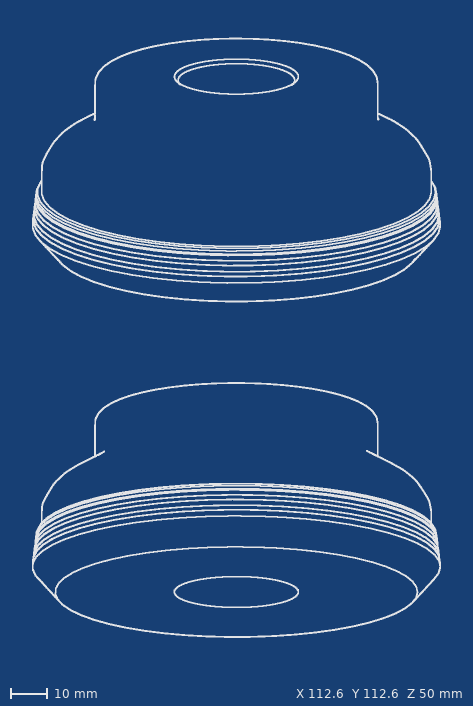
import cadquery as cq
import math

RIM_RADIUS = 56.3
TOTAL_HEIGHT = 50.0
JOINT_HEIGHT = 17.0

NECK_RADIUS = 39.0
NECK_TOP_FILLET = 2.0
NECK_ROOT_HEIGHT = 38.0
NECK_ROOT_FILLET = 3.0
SHOULDER_SLOPE = 30.0
SKIRT_SLOPE = 60.0
SHOULDER_ARC = 10.1
SKIRT_ARC = 5.0
SKIRT_RADIUS = 53.8
SKIRT_TOP_HEIGHT = 22.7

BORE_RADIUS = 16.1
BORE_CHAMFER = 1.0
BORE_END_HEIGHT = 28.3
LOWER_BORE_RADIUS = BORE_RADIUS + BORE_CHAMFER

FOOT_RADIUS = 50.2
FOOT_CHAMFER = 0.2
RIM_LOW_HEIGHT = 7.2
RIM_HIGH_HEIGHT = 7.9
SHOULDER_EDGE = (54.9, 16.8)
GRIP_TOP = (55.3, 16.1)

GROOVE_DEPTH = 0.1
GROOVES = [(9.0, 10.4), (12.0, 13.4), (14.9, 15.2)]


def revolve(outline):
    """Turn a closed outline in the XZ plane a full turn about the Z axis."""
    return outline.close().revolve(360, (0, 0, 0), (0, 1, 0))


def arc_point(center, radius, degrees):
    """Point on a circle in the radius-height plane; 90 degrees is straight up."""
    angle = math.radians(degrees)
    return (center[0] + radius * math.cos(angle), center[1] + radius * math.sin(angle))


def line_crossing(start, start_slope, end, end_slope):
    """Crossing of two falling lines, each given by a point and a slope in degrees."""
    start_fall = math.tan(math.radians(start_slope))
    end_fall = math.tan(math.radians(end_slope))
    radius = (start[1] - end[1] + start_fall * start[0] - end_fall * end[0]) / (start_fall - end_fall)
    return (radius, start[1] - start_fall * (radius - start[0]))


def make_hood():
    """Domed hood: a neck that flares through a shoulder into a cylindrical skirt."""
    root_center = (NECK_RADIUS + NECK_ROOT_FILLET, NECK_ROOT_HEIGHT)
    root_middle = arc_point(root_center, NECK_ROOT_FILLET, 180 + SHOULDER_SLOPE)
    root_end = arc_point(root_center, NECK_ROOT_FILLET, 270 - SHOULDER_SLOPE)

    skirt_center = (SKIRT_RADIUS - SKIRT_ARC, SKIRT_TOP_HEIGHT)
    skirt_start = arc_point(skirt_center, SKIRT_ARC, 90 - SKIRT_SLOPE)
    skirt_middle = arc_point(skirt_center, SKIRT_ARC, (90 - SKIRT_SLOPE) / 2)

    corner = line_crossing(root_end, SHOULDER_SLOPE, skirt_start, SKIRT_SLOPE)
    tangent = SHOULDER_ARC * math.tan(math.radians((SKIRT_SLOPE - SHOULDER_SLOPE) / 2))
    shoulder_start = arc_point(corner, tangent, 180 - SHOULDER_SLOPE)
    shoulder_end = arc_point(corner, tangent, -SKIRT_SLOPE)
    shoulder_center = arc_point(shoulder_start, SHOULDER_ARC, 270 - SHOULDER_SLOPE)
    shoulder_middle = arc_point(shoulder_center, SHOULDER_ARC, 90 - (SHOULDER_SLOPE + SKIRT_SLOPE) / 2)

    top_center = (NECK_RADIUS - NECK_TOP_FILLET, TOTAL_HEIGHT - NECK_TOP_FILLET)
    return revolve(
        cq.Workplane("XZ")
        .moveTo(BORE_RADIUS + BORE_CHAMFER, TOTAL_HEIGHT)
        .lineTo(top_center[0], TOTAL_HEIGHT)
        .threePointArc(arc_point(top_center, NECK_TOP_FILLET, 45), (NECK_RADIUS, top_center[1]))
        .lineTo(NECK_RADIUS, NECK_ROOT_HEIGHT)
        .threePointArc(root_middle, root_end)
        .lineTo(*shoulder_start)
        .threePointArc(shoulder_middle, shoulder_end)
        .lineTo(*skirt_start)
        .threePointArc(skirt_middle, (SKIRT_RADIUS, SKIRT_TOP_HEIGHT))
        .lineTo(SKIRT_RADIUS, JOINT_HEIGHT)
        .lineTo(LOWER_BORE_RADIUS, JOINT_HEIGHT)
        .lineTo(LOWER_BORE_RADIUS, BORE_END_HEIGHT)
        .lineTo(BORE_RADIUS, BORE_END_HEIGHT + BORE_CHAMFER)
        .lineTo(BORE_RADIUS, TOTAL_HEIGHT - BORE_CHAMFER)
    )


def grip_radius(height):
    """Outer radius of the conical grip at a height."""
    fraction = (height - RIM_HIGH_HEIGHT) / (GRIP_TOP[1] - RIM_HIGH_HEIGHT)
    return RIM_RADIUS + fraction * (GRIP_TOP[0] - RIM_RADIUS)


def make_base():
    """Base ring: an undercut foot, a rim and a grooved conical grip."""
    outline = (
        cq.Workplane("XZ")
        .moveTo(LOWER_BORE_RADIUS, 0)
        .lineTo(FOOT_RADIUS - FOOT_CHAMFER, 0)
        .lineTo(FOOT_RADIUS, FOOT_CHAMFER)
        .lineTo(RIM_RADIUS, RIM_LOW_HEIGHT)
        .lineTo(RIM_RADIUS, RIM_HIGH_HEIGHT)
    )
    for low, high in GROOVES:
        outline = (
            outline.lineTo(grip_radius(low), low)
            .lineTo(grip_radius(low) - GROOVE_DEPTH, low)
            .lineTo(grip_radius(high) - GROOVE_DEPTH, high)
            .lineTo(grip_radius(high), high)
        )
    return revolve(
        outline.lineTo(*GRIP_TOP)
        .lineTo(*SHOULDER_EDGE)
        .lineTo(SKIRT_RADIUS, JOINT_HEIGHT)
        .lineTo(LOWER_BORE_RADIUS, JOINT_HEIGHT)
    )


hood = make_hood()
base = make_base()

result = cq.Compound.makeCompound([hood.val(), base.val()])